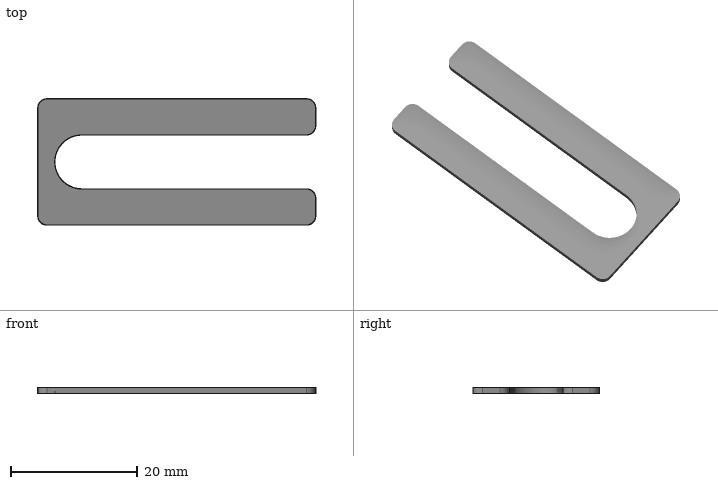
import cadquery as cq

length = 44.0
width = 20.0
thickness = 1.0
corner_radius = 1.5

slot_width = 8.5
web = 2.75

slot_radius = slot_width / 2
slot_center_x = web + slot_radius


def make_plate():
    """Rectangular plate with its -X edge at X = 0, centred on Y."""
    return cq.Workplane("XY").rect(length, width).extrude(thickness).translate((length / 2, 0, 0))


def make_slot():
    """Cutter for the open slot: straight sides and a half-round end."""
    return (
        cq.Workplane("XY")
        .moveTo(length, -slot_radius)
        .lineTo(slot_center_x, -slot_radius)
        .threePointArc((web, 0), (slot_center_x, slot_radius))
        .lineTo(length, slot_radius)
        .close()
        .extrude(thickness)
    )


fork = make_plate().cut(make_slot())

result = fork.edges("|Z and (<X or >X)").fillet(corner_radius)